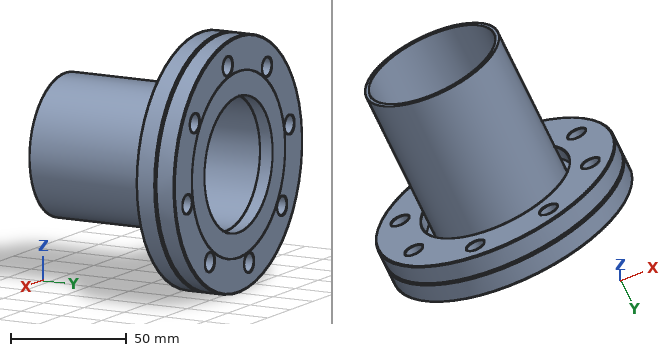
import cadquery as cq

overall_length = 85.9
flange_diameter = 113.5
flange_thickness = 19.0

edge_chamfer = 0.5
groove_width = 1.0
groove_depth = 0.2
neck_hole_diameter = 70.5
insert_recess_diameter = 82.5
insert_depth = 12.5

bolt_count = 8
bolt_hole_diameter = 8.4
bolt_circle_diameter = 92.2
first_bolt_angle = 33.2
hole_chamfer = 0.2

insert_diameter = 82.3
insert_bore_diameter = 60.3
socket_diameter = 63.8
socket_depth = 6.2

tube_outer_diameter = 63.5
tube_inner_diameter = 60.0

back_face = overall_length / 2
front_face = back_face - flange_thickness
tube_end = -overall_length / 2
insert_front = back_face - insert_depth
socket_floor = insert_front + socket_depth


def cylinder(diameter, start, end):
    """Cylinder on the Y axis from one Y station to a higher one."""
    return cq.Workplane("XZ", origin=(0, start, 0)).circle(diameter / 2).extrude(start - end)


def bolt_holes():
    """Drills on the bolt circle through the full flange thickness."""
    return (
        cq.Workplane("XZ", origin=(0, front_face, 0))
        .polarArray(bolt_circle_diameter / 2, first_bolt_angle, 360, bolt_count)
        .circle(bolt_hole_diameter / 2)
        .extrude(-flange_thickness)
    )


def rim_groove():
    """Shallow ring cut around the middle of the rim."""
    middle = (front_face + back_face) / 2
    start = middle - groove_width / 2
    end = middle + groove_width / 2
    groove_floor = cylinder(flange_diameter - 2 * groove_depth, start, end)
    return cylinder(flange_diameter, start, end).cut(groove_floor)


def make_outer_ring():
    """Bolted ring with a stepped bore that traps the insert."""
    ring = cylinder(flange_diameter, front_face, back_face).edges().chamfer(edge_chamfer)
    ring = ring.cut(rim_groove())
    ring = ring.cut(cylinder(neck_hole_diameter, front_face, back_face))
    ring = ring.cut(bolt_holes())
    hole_edges = [
        wire.Edges()[0]
        for face in ring.faces("<Y or >Y").vals()
        for wire in face.innerWires()
    ]
    ring = ring.newObject(hole_edges).chamfer(hole_chamfer)
    return ring.cut(cylinder(insert_recess_diameter, insert_front, back_face))


def make_insert():
    """Disc seated in the ring, bored through and socketed for the tube."""
    insert = cylinder(insert_diameter, insert_front, back_face)
    insert = insert.cut(cylinder(insert_bore_diameter, insert_front, back_face))
    return insert.cut(cylinder(socket_diameter, insert_front, socket_floor))


def make_tube():
    """Tube standing on the socket floor of the insert."""
    tube = cylinder(tube_outer_diameter, tube_end, socket_floor)
    return tube.cut(cylinder(tube_inner_diameter, tube_end, socket_floor))


outer_ring = make_outer_ring()
insert = make_insert()
tube = make_tube()

result = cq.Compound.makeCompound([outer_ring.val(), insert.val(), tube.val()])